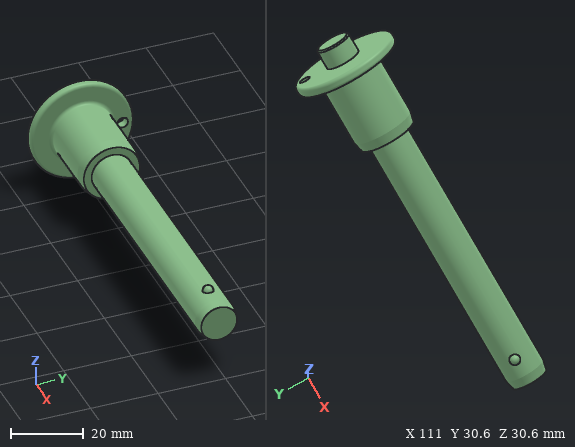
import cadquery as cq

DISC_START = 5.9
DISC_END = 8.9
SLEEVE_END = 31.0
LENGTH = 111.0

BUTTON_RADIUS = 5.0
DISC_RADIUS = 15.3
SLEEVE_RADIUS = 9.0
SLEEVE_END_RADIUS = 8.3
SHANK_RADIUS = 6.0
TIP_RADIUS = 5.3

BUTTON_CHAMFER = 0.4
DISC_FILLET = 1.0
NECK_FILLET = 1.0
SLEEVE_TAPER_LENGTH = 3.0
TIP_TAPER_LENGTH = 3.0

LANYARD_DIAMETER = 3.1
LANYARD_OFFSET = 12.0

BALL_RADIUS = 1.5
BALL_X = 102.7
BALL_PROTRUSION = 1.3
BALL_OFFSET = SHANK_RADIUS + BALL_PROTRUSION - BALL_RADIUS
BALL_SIDES = (1, -1)


def make_ball(side):
    """Locking ball on the +Z (side = 1) or -Z (side = -1) side of the shank."""
    return cq.Workplane("XY").sphere(BALL_RADIUS).translate((BALL_X, 0, side * BALL_OFFSET))


def make_turned_blank():
    """Button, disc, sleeve and shank as one profile revolved about X."""
    return (
        cq.Workplane("XY")
        .moveTo(0, 0)
        .lineTo(0, BUTTON_RADIUS - BUTTON_CHAMFER)
        .lineTo(BUTTON_CHAMFER, BUTTON_RADIUS)
        .lineTo(DISC_START, BUTTON_RADIUS)
        .lineTo(DISC_START, DISC_RADIUS - DISC_FILLET)
        .tangentArcPoint((DISC_START + DISC_FILLET, DISC_RADIUS), relative=False)
        .lineTo(DISC_END - DISC_FILLET, DISC_RADIUS)
        .tangentArcPoint((DISC_END, DISC_RADIUS - DISC_FILLET), relative=False)
        .lineTo(DISC_END, SLEEVE_RADIUS + NECK_FILLET)
        .tangentArcPoint((DISC_END + NECK_FILLET, SLEEVE_RADIUS), relative=False)
        .lineTo(SLEEVE_END - SLEEVE_TAPER_LENGTH, SLEEVE_RADIUS)
        .lineTo(SLEEVE_END, SLEEVE_END_RADIUS)
        .lineTo(SLEEVE_END, SHANK_RADIUS)
        .lineTo(LENGTH - TIP_TAPER_LENGTH, SHANK_RADIUS)
        .lineTo(LENGTH, TIP_RADIUS)
        .lineTo(LENGTH, 0)
        .close()
        .revolve(360, (0, 0, 0), (1, 0, 0))
    )


def make_lanyard_hole():
    """Cutter for the small hole through the disc on its +Y side."""
    return (
        cq.Workplane("YZ", origin=(DISC_START, 0, 0))
        .center(LANYARD_OFFSET, 0)
        .circle(LANYARD_DIAMETER / 2)
        .extrude(DISC_END - DISC_START)
    )


balls = [make_ball(side) for side in BALL_SIDES]

pin_body = make_turned_blank().cut(make_lanyard_hole())
for ball in balls:
    pin_body = pin_body.cut(ball)

result = cq.Compound.makeCompound([pin_body.val(), *[ball.val() for ball in balls]])